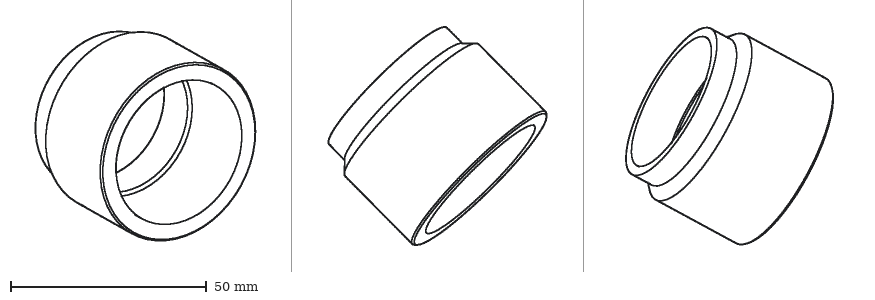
import cadquery as cq

body_diameter = 48.0
spigot_diameter = 42.4
bore_diameter = 37.2
socket_diameter = 38.9
total_length = 34.0
spigot_length = 6.0
bore_length = 10.65
end_chamfer = 0.5

body_radius = body_diameter / 2
spigot_radius = spigot_diameter / 2
bore_radius = bore_diameter / 2
socket_radius = socket_diameter / 2

body_start = spigot_length + body_radius - spigot_radius

socket_start = bore_length + socket_radius - bore_radius

half_section = [
    (0, bore_radius),
    (0, spigot_radius),
    (spigot_length, spigot_radius),
    (body_start, body_radius),
    (total_length - end_chamfer, body_radius),
    (total_length, body_radius - end_chamfer),
    (total_length, socket_radius),
    (socket_start, socket_radius),
    (bore_length, bore_radius),
]

result = (
    cq.Workplane("XY")
    .polyline(half_section)
    .close()
    .revolve(360, (0, 0, 0), (1, 0, 0))
)